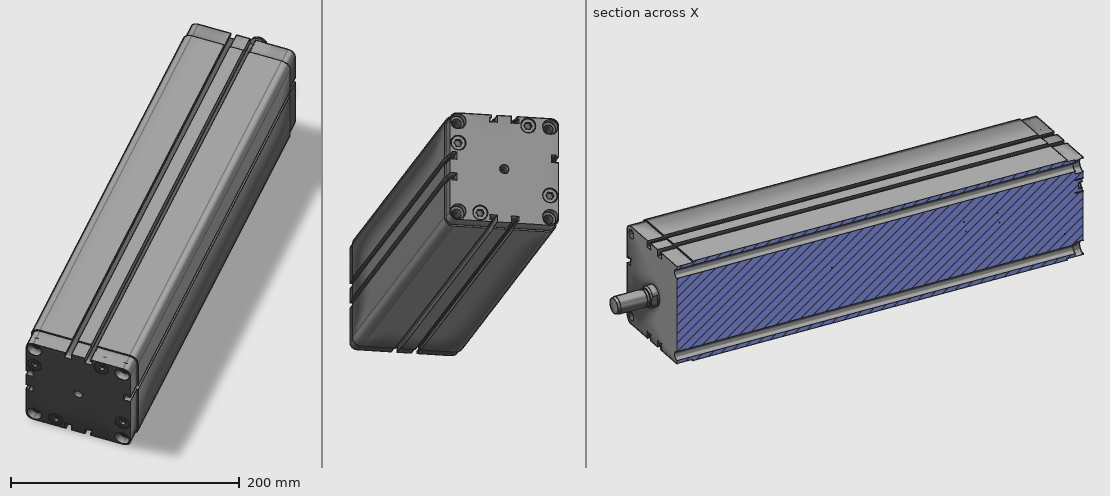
import cadquery as cq

overall_length = 446.0
cap_length = 16.0
body_length = 373.7
rear_face = 2 * cap_length + body_length

body_width = 100.0
body_corner_radius = 8.0
cap_inset = 1.5
cap_width = body_width - 2 * cap_inset
cap_corner_radius = body_corner_radius - cap_inset

slot_wall_offset = 6.2
slot_opening = 5.5
slot_undercut = 1.5
slot_depth = 7.5
slot_lip = 3.5
single_slot_shift = 2.5

corner_hole_offset = 41.0
corner_hole_diameter = 8.5
counterbore_diameter = 13.5
counterbore_depth = 8.0

screw_offset = 21.5
screw_head_diameter = 12.5
screw_head_recess = 1.0
socket_diameter = 7.0
socket_depth = 3.5
center_hole_diameter = 8.0
center_hole_depth = 16.0

rod_diameter = 16.0
rod_chamfer_length = 2.5
rod_chamfer_width = 1.0
neck_diameter = 15.0
neck_length = 2.5
collar_diameter = 20.0
collar_length = 8.0
collar_chamfer_length = 2.0
collar_chamfer_width = 1.5
collar_base = 2.0
flat_width = 18.0


def square_bar(width, corner_radius, start, length):
    """Bar along +Y with rounded long edges, starting at Y = start."""
    bar = cq.Workplane("XY").box(width, length, width).edges("|Y").fillet(corner_radius)
    return bar.translate((0, start + length / 2, 0))


def cylinder(diameter, start, length, x=0, z=0):
    """Cylinder along +Y, starting at Y = start."""
    return cq.Workplane("XZ", origin=(x, start, z)).circle(diameter / 2).extrude(-length)


def slot(side, shift, turn):
    """Slot cut into the top face on one side of the middle, then turned about the Y axis."""
    top = body_width / 2
    floor = top - slot_depth
    wall = slot_wall_offset
    lip = wall + slot_opening
    pocket = lip + slot_undercut
    lip_bottom = top - slot_lip
    profile = [
        (wall, top),
        (wall, floor),
        (pocket, floor),
        (pocket, lip_bottom),
        (lip, lip_bottom),
        (lip, top),
    ]
    points = [(side * (x + shift), z) for x, z in profile]
    cutter = cq.Workplane("XZ").polyline(points).close().extrude(-rear_face)
    return cutter.rotate((0, 0, 0), (0, 1, 0), turn)


def screw_clearance(x, z):
    """Space left open around a seated cap screw: its counterbore less the socketed head."""
    seat = cylinder(counterbore_diameter, 0, counterbore_depth, x, z)
    head_height = counterbore_depth - screw_head_recess
    head = cylinder(screw_head_diameter, screw_head_recess, head_height, x, z)
    socket = (
        cq.Workplane("XZ", origin=(x, screw_head_recess, z))
        .polygon(6, socket_diameter)
        .extrude(-socket_depth)
    )
    return seat.cut(head.cut(socket))


part = square_bar(body_width, body_corner_radius, cap_length, body_length)
for cap_start in (0, cap_length + body_length):
    part = part.union(square_bar(cap_width, cap_corner_radius, cap_start, cap_length))

for turn in (0, 180, 270):
    for side in (-1, 1):
        part = part.cut(slot(side, 0, turn))

part = part.cut(slot(-1, single_slot_shift, 90))

for x in (-corner_hole_offset, corner_hole_offset):
    for z in (-corner_hole_offset, corner_hole_offset):
        part = part.cut(cylinder(corner_hole_diameter, 0, rear_face, x, z))
        part = part.cut(cylinder(counterbore_diameter, 0, counterbore_depth, x, z))

screw_places = [
    (screw_offset, corner_hole_offset),
    (corner_hole_offset, -screw_offset),
    (-screw_offset, -corner_hole_offset),
    (-corner_hole_offset, screw_offset),
]
for x, z in screw_places:
    part = part.cut(screw_clearance(x, z))

part = part.cut(cylinder(center_hole_diameter, 0, center_hole_depth))

collar = cylinder(collar_diameter, rear_face, collar_length).faces(">Y")
collar = collar.chamfer(collar_chamfer_length, collar_chamfer_width)
flats = cq.Workplane("XY").box(flat_width, collar_length, body_width)
flats = flats.translate((0, rear_face + collar_length / 2, 0))
base = cylinder(collar_diameter, rear_face, collar_base)
part = part.union(collar.intersect(flats)).union(base)

collar_end = rear_face + collar_length
neck_end = collar_end + neck_length
part = part.union(cylinder(neck_diameter, collar_end, neck_length))
rod = cylinder(rod_diameter, neck_end, overall_length - neck_end).faces(">Y")
rod = rod.chamfer(rod_chamfer_length, rod_chamfer_width)
part = part.union(rod)

result = part